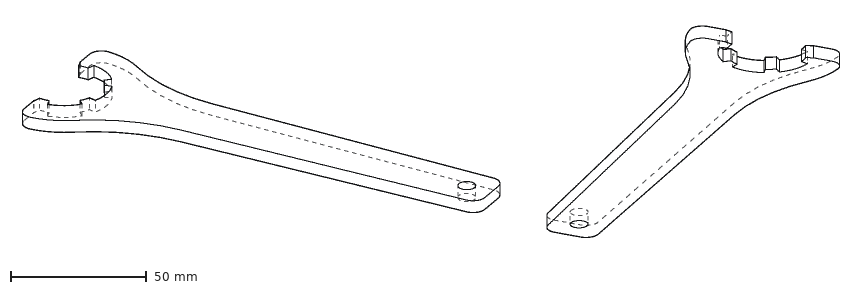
import cadquery as cq
import math

length = 183.0
thickness = 5.0

jaw_center_x = 3.0
jaw_radius = 30.0
jaw_corner_radius = 5.0
bore_radius = 18.0

tooth_angles = (-90, -30, 30, 90)
tooth_tip_radius = 15.0
tooth_tip_half_width = 2.0
tooth_root_half_width = 3.0
tooth_overlap = 1.0

tip_half_width = 10.0
taper_angle = math.radians(0.9)
blend_radius = 69.0
tip_corner_radius = 5.0
hole_diameter = 6.5
hole_center_x = 172.5


def make_body():
    """Plate with the jaw and handle outline, before the bore is cut."""
    corner_dx = jaw_corner_radius - jaw_center_x
    corner_y = math.sqrt((jaw_radius - jaw_corner_radius) ** 2 - corner_dx**2)
    corner_angle = math.atan2(corner_y, corner_dx)

    axis_to_side = (
        tip_half_width * math.cos(taper_angle)
        + (length - jaw_center_x) * math.sin(taper_angle)
    )
    center_distance = jaw_radius + blend_radius
    blend_angle = math.asin((axis_to_side + blend_radius) / center_distance) - taper_angle
    blend_x = jaw_center_x + center_distance * math.cos(blend_angle)
    blend_y = center_distance * math.sin(blend_angle)

    def on_jaw(angle):
        return (
            jaw_center_x + jaw_radius * math.cos(angle),
            jaw_radius * math.sin(angle),
        )

    def on_blend(angle):
        return (
            blend_x + blend_radius * math.cos(angle),
            blend_y + blend_radius * math.sin(angle),
        )

    def on_corner(angle):
        return (
            jaw_corner_radius + jaw_corner_radius * math.cos(angle),
            corner_y + jaw_corner_radius * math.sin(angle),
        )

    blend_start = math.pi + blend_angle
    blend_end = 1.5 * math.pi - taper_angle
    upper_half = (
        cq.Workplane("XY")
        .moveTo(0, 0)
        .lineTo(0, corner_y)
        .threePointArc(on_corner((math.pi + corner_angle) / 2), on_jaw(corner_angle))
        .threePointArc(on_jaw((corner_angle + blend_angle) / 2), on_jaw(blend_angle))
        .threePointArc(on_blend((blend_start + blend_end) / 2), on_blend(blend_end))
        .lineTo(length, tip_half_width)
        .lineTo(length, 0)
        .close()
        .extrude(thickness)
    )
    body = upper_half.union(upper_half.mirror("XZ")).clean()
    return body.faces(">X").edges("|Z").fillet(tip_corner_radius)


def make_tooth(angle):
    """Tapered tooth at the given angle around the jaw centre; its tip is an arc about that centre."""
    tip_corner_x = math.sqrt(tooth_tip_radius**2 - tooth_tip_half_width**2)
    return (
        cq.Workplane("XY")
        .moveTo(tip_corner_x, -tooth_tip_half_width)
        .lineTo(bore_radius, -tooth_root_half_width)
        .lineTo(bore_radius + tooth_overlap, -tooth_root_half_width)
        .lineTo(bore_radius + tooth_overlap, tooth_root_half_width)
        .lineTo(bore_radius, tooth_root_half_width)
        .lineTo(tip_corner_x, tooth_tip_half_width)
        .threePointArc((tooth_tip_radius, 0), (tip_corner_x, -tooth_tip_half_width))
        .close()
        .extrude(thickness)
        .rotate((0, 0, 0), (0, 0, 1), angle)
        .translate((jaw_center_x, 0, 0))
    )


def make_bore():
    """Bore with the teeth left out; it runs past the flat front of the jaw."""
    bore = cq.Workplane("XY").center(jaw_center_x, 0).circle(bore_radius).extrude(thickness)
    for angle in tooth_angles:
        bore = bore.cut(make_tooth(angle))
    return bore


def make_hanging_hole():
    return cq.Workplane("XY").center(hole_center_x, 0).circle(hole_diameter / 2).extrude(thickness)


result = make_body().cut(make_bore()).cut(make_hanging_hole())